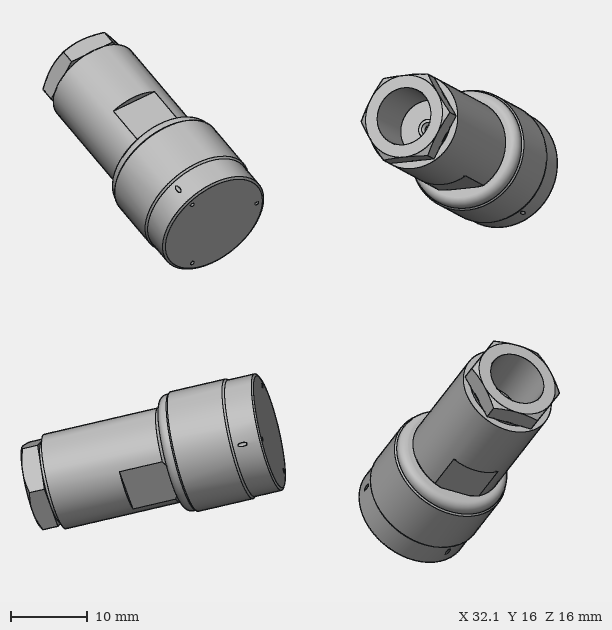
import cadquery as cq
import math

across_flats = 10.93
hex_sides = 6
hex_length = 2.5
hex_chamfer_angle = 30.0
neck_radius = 5.35
barrel_radius = 6.3
barrel_start = 3.0
flats_start = 12.65
barrel_end = 18.95
barrel_chamfer = 0.48
bore_radius = 3.8
bore_depth = 2 * bore_radius

contact_radius = 1.28
cup_mouth_radius = 0.85
cup_radius = 0.5
cup_depth = 2.55
cup_tip_angle = 59.0

total_length = 32.05
coupling_diameter = 16.0
rim_radius = 7.8
front_rounding = 1.05
grip_start = 20.55
grip_end = 27.95
front_bevel = 0.22
rear_bevel = 0.3
end_chamfer_length = 0.2
end_chamfer_height = 0.32

wire_hole_count = 3
wire_hole_radius = 0.25
wire_hole_slope = 25.0
wire_hole_position = 29.52


def revolve_about_x(profile):
    """Turn a closed profile, drawn as (X, radius), about the X axis."""
    return profile.close().revolve(360, (0, 0, 0), (1, 0, 0))


def x_cylinder(start, end, radius):
    return cq.Workplane("YZ").workplane(offset=start).circle(radius).extrude(end - start)


def make_hexagon():
    """Hexagon with two flats square to Z and its outer corners bevelled."""
    corner_radius = across_flats / 2 / math.cos(math.pi / hex_sides)
    bevel_radius = across_flats / 2
    bevel_length = (corner_radius - bevel_radius) * math.tan(math.radians(hex_chamfer_angle))
    prism = cq.Workplane("YZ").polygon(hex_sides, 2 * corner_radius).extrude(hex_length)
    bevelled_round = revolve_about_x(
        cq.Workplane("XY")
        .lineTo(0, bevel_radius)
        .lineTo(bevel_length, corner_radius)
        .lineTo(hex_length, corner_radius)
        .lineTo(hex_length, 0)
    )
    return prism.intersect(bevelled_round)


def make_barrel():
    """Round barrel, bevelled at the coupling, with a pair of wrench flats."""
    barrel = x_cylinder(barrel_start, barrel_end, barrel_radius)
    barrel = barrel.faces(">X").chamfer(barrel_chamfer)
    flats_length = barrel_end - flats_start
    flat_cut_height = barrel_radius - across_flats / 2
    for side in (-1, 1):
        flat_cut = cq.Workplane("XY").box(flats_length, 2 * barrel_radius, flat_cut_height).translate(
            (flats_start + flats_length / 2, 0, side * (across_flats + flat_cut_height) / 2)
        )
        barrel = barrel.cut(flat_cut)
    return barrel


def make_body():
    """Hexagon, neck and barrel in one piece, bored for the cable and the contact."""
    body = make_hexagon().union(x_cylinder(hex_length, barrel_start, neck_radius)).union(make_barrel())
    cable_bore = x_cylinder(0, bore_depth, bore_radius)
    contact_hole = x_cylinder(bore_depth, barrel_end, contact_radius)
    return body.cut(cable_bore).cut(contact_hole)


def make_contact():
    """Solid pin with a countersunk solder cup that ends in a drill point."""
    mouth_depth = cup_mouth_radius - cup_radius
    tip_length = cup_radius / math.tan(math.radians(cup_tip_angle))
    return revolve_about_x(
        cq.Workplane("XY")
        .moveTo(bore_depth, contact_radius)
        .lineTo(bore_depth, cup_mouth_radius)
        .lineTo(bore_depth + mouth_depth, cup_radius)
        .lineTo(bore_depth + cup_depth, cup_radius)
        .lineTo(bore_depth + cup_depth + tip_length, 0)
        .lineTo(barrel_end, 0)
        .lineTo(barrel_end, contact_radius)
    )


def make_wire_hole():
    """Cutter for one wire hole, long enough to clear the surface at both ends."""
    slope = math.radians(wire_hole_slope)
    direction = cq.Vector(math.cos(slope), -math.sin(slope), 0)
    mouth = cq.Vector(wire_hole_position, rim_radius, 0)
    half_length = 1.5 * (total_length - wire_hole_position)
    start = mouth - direction * half_length
    return cq.Workplane(cq.Solid.makeCylinder(wire_hole_radius, 2 * half_length, start, direction))


def make_coupling():
    """Closed sleeve with a rounded front, a raised grip and slanted wire holes."""
    coupling = revolve_about_x(
        cq.Workplane("XY")
        .moveTo(barrel_end, 0)
        .lineTo(barrel_end, rim_radius - front_rounding)
        .radiusArc((barrel_end + front_rounding, rim_radius), front_rounding)
        .lineTo(grip_start - front_bevel, rim_radius)
        .lineTo(grip_start, coupling_diameter / 2)
        .lineTo(grip_end, coupling_diameter / 2)
        .lineTo(grip_end + rear_bevel, rim_radius)
        .lineTo(total_length - end_chamfer_length, rim_radius)
        .lineTo(total_length, rim_radius - end_chamfer_height)
        .lineTo(total_length, 0)
    )
    wire_hole = make_wire_hole()
    for index in range(wire_hole_count):
        angle = index * 360 / wire_hole_count
        coupling = coupling.cut(wire_hole.rotate((0, 0, 0), (1, 0, 0), angle))
    return coupling


body = make_body()
contact = make_contact()
coupling = make_coupling()
result = cq.Compound.makeCompound([body.val(), contact.val(), coupling.val()])